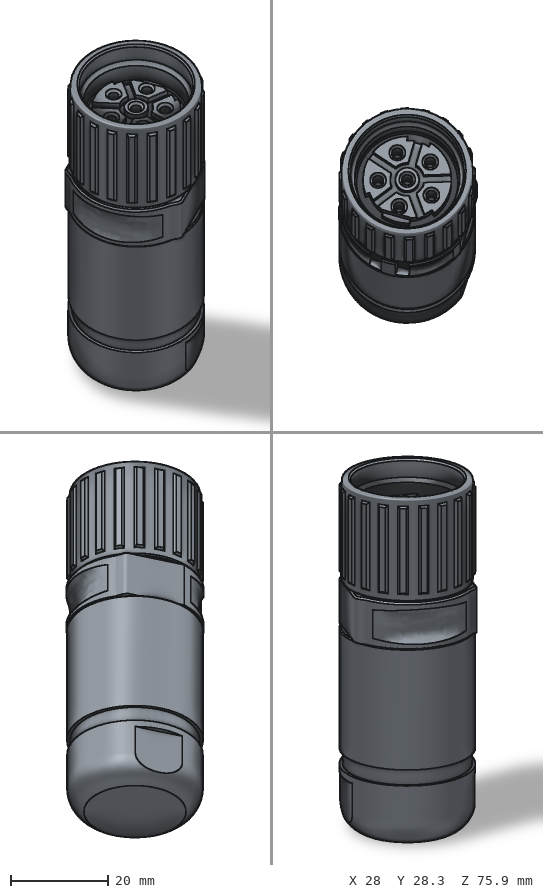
import cadquery as cq
import math

clearance = 1.0

height = 75.85
sleeve_top = height
sleeve_bottom = sleeve_top - 22.4
neck_bottom = sleeve_top - 32.4
body_bottom = sleeve_top - 58.8
nut_top = sleeve_top - 62.3
nut_flat_top = sleeve_top - 63.8
nut_round_start = sleeve_top - 70.15

body_radius = 14.0
neck_radius = 14.15
sleeve_radius = 13.5
groove_radius = 13.3
nut_end_radius = 10.5
sleeve_top_fillet = 0.5
sleeve_bottom_chamfer = 0.3
neck_top_chamfer = 0.4
body_top_chamfer = 0.3

rib_count = 20
rib_width = 2.4
rib_taper = 38.0
rib_top = sleeve_top - 1.4
rib_bottom = sleeve_top - 20.9
rib_embed = 0.2
rib_root_radius = sleeve_radius - rib_embed

flat_offset = 13.0

shoulder_flat_end = (flat_offset, -6.75)
shoulder_arc_middle = (12.75, -7.33)
shoulder_arc_end = (12.33, -7.8)
shoulder_inner = (11.05, -8.8)

scoop_mid_z = sleeve_top - 27.65
scoop_end_half_height = 3.1
scoop_middle_half_height = 3.8
scoop_edge_depth = 0.02
scoop_sections = 7
front_scoop_half_span = 9.93
front_scoop_depth = 1.65
rear_scoop_half_span = 12.0
rear_scoop_depth = 1.3

rear_slot_half_width = 4.2
rear_slot_floor = 12.2
rear_slot_bottom = sleeve_top - 31.3
rear_rib_half_width = 1.5

mouth_radius = 12.1
bore_radius = 11.7
lower_bore_radius = 10.8
floor_radius = 10.4
mouth_chamfer_height = 0.45
ledge_top = sleeve_top - 4.05
ledge_bottom = sleeve_top - 4.85
floor_chamfer_top = sleeve_top - 8.9
socket_floor = sleeve_top - 9.2

insert_top = sleeve_top - 6.4
insert_radius = 9.1
insert_step_radius = 8.25
insert_flat_y = 7.6
rear_step_start_angle = 36.0
front_step_half_width = 2.4
channel_depth = 1.3
channel_width = 1.6
channel_ring_radius = 3.5
centre_boss_radius = 2.45

contact_count = 5
contact_circle_radius = 6.0
contact_mouth_radius = 1.65
contact_radius = 1.1
contact_depth = 6.0

key_half_width = 2.95
key_inner_y = 7.95
key_top = insert_top - 0.7


def cylinder(radius, bottom, top):
    return cq.Workplane("XY").workplane(offset=bottom).circle(radius).extrude(top - bottom)


def block(x_range, y_range, z_range):
    """Box spanning the given lower and upper limits along each axis."""
    width = x_range[1] - x_range[0]
    depth = y_range[1] - y_range[0]
    rise = z_range[1] - z_range[0]
    corner = (x_range[0], y_range[0], z_range[0])
    return cq.Workplane("XY").box(width, depth, rise, centered=False).translate(corner)


def between_flats(bottom, top):
    """Slab between the two side flats, wide enough to clear every part in Y."""
    half_depth = 2 * body_radius
    return block((-flat_offset, flat_offset), (-half_depth, half_depth), (bottom, top))


def make_nut():
    """Cable nut with a rounded lower end and two flats."""
    drop = nut_round_start
    inset = body_radius - nut_end_radius
    round_radius = (inset**2 + drop**2) / (2 * inset)
    half_sweep = math.asin(drop / round_radius) / 2
    arc_middle = (
        body_radius - round_radius * (1 - math.cos(half_sweep)),
        nut_round_start - round_radius * math.sin(half_sweep),
    )
    nut = (
        cq.Workplane("XZ")
        .moveTo(0, 0)
        .lineTo(nut_end_radius, 0)
        .threePointArc(arc_middle, (body_radius, nut_round_start))
        .lineTo(body_radius, nut_top)
        .lineTo(0, nut_top)
        .close()
        .revolve(360, (0, 0, 0), (0, 1, 0))
    )
    flatted = nut.intersect(between_flats(0, nut_flat_top))
    return flatted.union(nut.intersect(cylinder(body_radius, nut_flat_top, nut_top)))


def make_shoulder(side):
    """Wedge that carries a side flat past the round neck towards the front."""
    return (
        cq.Workplane("XY")
        .workplane(offset=neck_bottom)
        .moveTo(0, 0)
        .lineTo(0, shoulder_inner[1])
        .lineTo(side * shoulder_inner[0], shoulder_inner[1])
        .lineTo(side * shoulder_arc_end[0], shoulder_arc_end[1])
        .threePointArc(
            (side * shoulder_arc_middle[0], shoulder_arc_middle[1]),
            (side * shoulder_flat_end[0], shoulder_flat_end[1]),
        )
        .lineTo(side * flat_offset, 0)
        .close()
        .extrude(sleeve_bottom - neck_bottom)
    )


def make_scoop(half_span, depth, side):
    """Cutter for a finger scoop that is deepest in the middle and fades out at both ends."""
    outside = neck_radius + clearance
    cutter = cq.Workplane("YZ").workplane(offset=-half_span)
    spacing = 2 * half_span / (scoop_sections - 1)
    for index in range(scoop_sections):
        x = -half_span + index * spacing
        fullness = 1 - (x / half_span) ** 2
        surface_y = math.sqrt(neck_radius**2 - x**2)
        deepest_y = surface_y - scoop_edge_depth - depth * fullness
        growth = scoop_middle_half_height - scoop_end_half_height
        half_height = scoop_end_half_height + growth * fullness
        low = scoop_mid_z - half_height
        high = scoop_mid_z + half_height
        if index > 0:
            cutter = cutter.workplane(offset=spacing)
        cutter = (
            cutter.moveTo(side * outside, low)
            .lineTo(side * surface_y, low)
            .threePointArc((side * deepest_y, scoop_mid_z), (side * surface_y, high))
            .lineTo(side * outside, high)
            .close()
        )
    return cutter.loft(combine=True)


def make_body():
    body = cylinder(body_radius, body_bottom, neck_bottom)
    return body.faces(">Z").edges().chamfer(body_top_chamfer)


def make_neck():
    round_neck = cylinder(neck_radius, neck_bottom, sleeve_bottom)
    neck = round_neck.intersect(between_flats(neck_bottom, sleeve_bottom))
    for side in (-1, 1):
        neck = neck.union(make_shoulder(side))
    neck = neck.faces(">Z").edges().chamfer(neck_top_chamfer)
    centre_rib = neck.intersect(
        block(
            (-rear_rib_half_width, rear_rib_half_width),
            (0, neck_radius + clearance),
            (neck_bottom, sleeve_bottom),
        )
    )
    neck = neck.cut(make_scoop(front_scoop_half_span, front_scoop_depth, -1))
    neck = neck.cut(make_scoop(rear_scoop_half_span, rear_scoop_depth, 1))
    neck = neck.cut(
        block(
            (-rear_slot_half_width, rear_slot_half_width),
            (rear_slot_floor, neck_radius + clearance),
            (rear_slot_bottom, sleeve_bottom),
        )
    )
    return neck.union(centre_rib)


def make_sleeve():
    """Coupling sleeve with tapered grip ribs."""
    sleeve = cylinder(sleeve_radius, sleeve_bottom, sleeve_top)
    sleeve = sleeve.faces(">Z").edges().fillet(sleeve_top_fillet)
    sleeve = sleeve.faces("<Z").edges().chamfer(sleeve_bottom_chamfer)
    rib_base = (
        cq.Workplane("YZ")
        .workplane(offset=rib_root_radius)
        .center(0, (rib_top + rib_bottom) / 2)
        .rect(rib_width, rib_top - rib_bottom)
        .extrude(body_radius - rib_root_radius, taper=rib_taper)
    )
    for index in range(rib_count):
        turn = index * 360 / rib_count
        sleeve = sleeve.union(rib_base.rotate((0, 0, 0), (0, 0, 1), turn))
    return sleeve


def make_socket():
    """Stepped bore, removed from the upper end of the sleeve."""
    profile = [
        (0, sleeve_top),
        (mouth_radius, sleeve_top),
        (bore_radius, sleeve_top - mouth_chamfer_height),
        (bore_radius, ledge_top),
        (lower_bore_radius, ledge_bottom),
        (lower_bore_radius, floor_chamfer_top),
        (floor_radius, socket_floor),
        (0, socket_floor),
    ]
    return cq.Workplane("XZ").polyline(profile).close().revolve(360, (0, 0, 0), (0, 1, 0))


def make_insert_outline():
    """Round insert, stepped in at the front and rear and flat at the rear."""
    reach = 2 * insert_radius
    levels = (socket_floor, insert_top)
    core = cylinder(insert_step_radius, *levels)
    core = core.intersect(block((-reach, reach), (-reach, insert_flat_y), levels))
    start = math.radians(rear_step_start_angle)
    step_x = insert_radius * math.cos(start)
    step_y = insert_radius * math.sin(start)
    rear_step = (
        cq.Workplane("XY")
        .workplane(offset=socket_floor)
        .polyline([(0, 0), (step_x, step_y), (step_x, reach), (-step_x, reach), (-step_x, step_y)])
        .close()
        .extrude(insert_top - socket_floor)
    )
    front_step = block((-front_step_half_width, front_step_half_width), (-reach, 0), levels)
    rim = cylinder(insert_radius, *levels).cut(rear_step).cut(front_step)
    return core.union(rim)


def make_contact_hole():
    """Axial contact hole with a conical mouth, centred on the part axis."""
    mouth_bottom = insert_top - (contact_mouth_radius - contact_radius)
    hole_bottom = insert_top - contact_depth
    profile = [
        (0, insert_top),
        (contact_mouth_radius, insert_top),
        (contact_radius, mouth_bottom),
        (contact_radius, hole_bottom),
        (0, hole_bottom),
    ]
    return cq.Workplane("XZ").polyline(profile).close().revolve(360, (0, 0, 0), (0, 1, 0))


def make_channels():
    """Ring around the centre boss and the radial channels that leave it between the contacts."""
    levels = (insert_top - channel_depth, insert_top)
    channels = cylinder(channel_ring_radius, *levels)
    arm = block((-channel_width / 2, channel_width / 2), (-insert_radius, 0), levels)
    for index in range(contact_count):
        turn = index * 360 / contact_count
        channels = channels.union(arm.rotate((0, 0, 0), (0, 0, 1), turn))
    return channels.cut(cylinder(centre_boss_radius, *levels))


def make_key():
    levels = (socket_floor, key_top)
    key_block = block((-key_half_width, key_half_width), (key_inner_y, 2 * insert_radius), levels)
    return cylinder(insert_radius, *levels).intersect(key_block)


def make_contact_holes():
    hole = make_contact_hole()
    holes = hole
    for index in range(contact_count):
        turn = index * 360 / contact_count
        outer_hole = hole.translate((0, contact_circle_radius, 0))
        holes = holes.union(outer_hole.rotate((0, 0, 0), (0, 0, 1), turn))
    return holes


shell = make_nut()
shell = shell.union(cylinder(groove_radius, nut_top, body_bottom))
shell = shell.union(make_body())
shell = shell.union(make_neck())
shell = shell.union(make_sleeve())
shell = shell.cut(make_socket())

insert = make_insert_outline().cut(make_channels()).union(make_key())
result = shell.union(insert).cut(make_contact_holes())